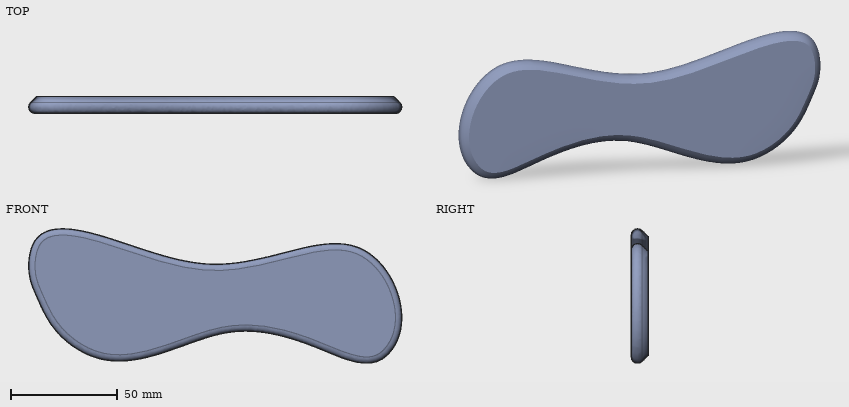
import cadquery as cq
import math


THICKNESS = 8.0
EDGE_RADIUS = 3.0
BEVEL_ANGLE = 45.0

OUTLINE = [
    (-86.9, 7.3),
    (-84.8, 26.1),
    (-41.9, 24.7),
    (1.7, 15.1),
    (30.6, 20.0),
    (68.1, 22.6),
    (82.2, 9.5),
    (83.8, -24.4),
    (78.8, -29.5),
    (49.6, -25.0),
    (6.3, -17.1),
    (-16.8, -24.0),
    (-53.4, -29.7),
    (-77.3, -13.2),
    (-84.1, 0.0),
]
START_DIRECTION = 105.0

DEPTH_AXIS = cq.Vector(0, 1, 0)


def start_tangent():
    """Unit direction of the outline at its first point."""
    angle = math.radians(START_DIRECTION)
    return cq.Vector(math.cos(angle), 0, math.sin(angle))


def outline_wire():
    """Closed smooth curve through the outline points, in the plane Y = 0."""
    points = [cq.Vector(x, 0, z) for x, z in OUTLINE + OUTLINE[:1]]
    tangent = start_tangent()
    curve = cq.Edge.makeSpline(points, tangents=[tangent, tangent], scale=False)
    return cq.Wire.assembleEdges([curve])


def rim_section():
    """Open rim section: local x points into the pad, local y towards the back."""
    angle = math.radians(BEVEL_ANGLE)
    arc_end_inset = EDGE_RADIUS * (1 - math.cos(angle))
    arc_end_depth = EDGE_RADIUS * (1 + math.sin(angle))
    bevel_inset = (THICKNESS - arc_end_depth) / math.tan(angle)

    start_x, start_z = OUTLINE[0]
    tangent = start_tangent()
    inward = DEPTH_AXIS.cross(tangent)
    plane = cq.Plane(origin=(start_x, 0, start_z), xDir=inward, normal=tangent)
    return (
        cq.Workplane(plane)
        .moveTo(EDGE_RADIUS, 0)
        .threePointArc((0, EDGE_RADIUS), (arc_end_inset, arc_end_depth))
        .lineTo(arc_end_inset + bevel_inset, THICKNESS)
        .wire()
    )


def make_rim():
    """Open shell made by sweeping the rim section once round the outline."""
    path = cq.Workplane(obj=outline_wire())
    return rim_section().sweep(path, makeSolid=False)


def make_cap(rim, side):
    """Flat face that closes the rim at its front ("<Y") or back (">Y") boundary."""
    boundary = rim.edges(side).val()
    return cq.Face.makeFromWires(cq.Wire.assembleEdges([boundary]))


def make_pad():
    """Close the rim with a front and a back face and fill it."""
    rim = make_rim()
    caps = [make_cap(rim, "<Y"), make_cap(rim, ">Y")]
    shell = cq.Shell.makeShell(rim.faces().vals() + caps)
    return cq.Workplane(obj=cq.Solid.makeSolid(shell))


result = make_pad()